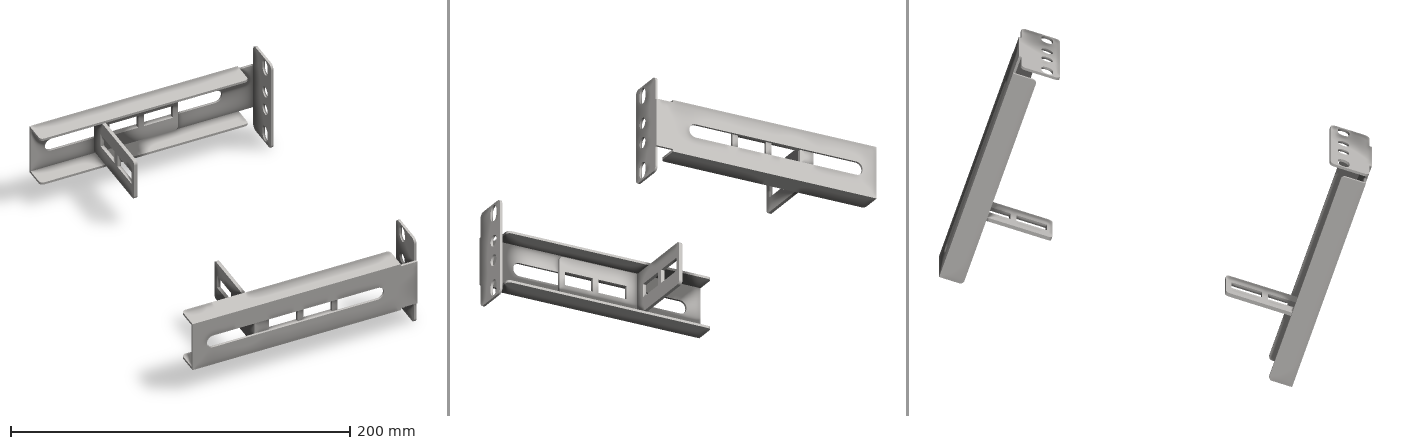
import cadquery as cq

overall_width = 219.5
overall_length = 147.5
ear_height = 61.0

sheet = 1.5
rail_height = 33.5
flange_depth = 15.0
flange_corner_radius = 2.5
neck_length = 11.0
neck_height = rail_height - 2 * sheet
web_slot_height = 8.5
web_slot_front_margin = 9.5
web_slot_rear_margin = 22.0

ear_width = 24.1
ear_corner_radius = 3.0
ear_hole_diameter = 7.0
ear_hole_inset = 16.0
ear_hole_offset = 6.4
ear_slot_offset = 24.1
ear_slot_length = 10.3

angle_sheet = 2.2
angle_leg = 54.2
angle_height = 27.5
angle_end_radius = 2.5
angle_front_distance = 106.0
window_height = web_slot_height
window_length = 18.9
windows_per_leg = 2
window_corner_margin = 9.2
window_bar_width = 3.7
window_spacing = window_length + window_bar_width

outer_x = -overall_width / 2
inner_x = outer_x + sheet
front_y = -overall_length
flange_rear_y = -neck_length
angle_front_y = -angle_front_distance


def box(x_range, y_range, height):
    """A box between two X and two Y positions, centred on Z = 0."""
    (x_min, x_max), (y_min, y_max) = x_range, y_range
    return cq.Workplane("XY").box(x_max - x_min, y_max - y_min, height).translate(
        ((x_min + x_max) / 2, (y_min + y_max) / 2, 0)
    )


def rail_channel():
    """The web, its narrower neck at the rear, and the upper and lower flanges."""
    flange_x = outer_x + flange_depth
    y_range = (front_y, flange_rear_y)
    block = box((outer_x, flange_x), y_range, rail_height)
    block = block.edges("|Z and >X").fillet(flange_corner_radius)
    channel = block.cut(box((inner_x, flange_x), y_range, neck_height))
    neck = box((outer_x, inner_x), (flange_rear_y, 0), neck_height)
    return channel.union(neck)


def web_slot():
    """The cutter for the long round-ended slot in the web."""
    slot_rear_y = -web_slot_rear_margin
    slot_front_y = front_y + web_slot_front_margin
    return (
        cq.Workplane("YZ", origin=(outer_x, (slot_rear_y + slot_front_y) / 2, 0))
        .slot2D(slot_rear_y - slot_front_y, web_slot_height)
        .extrude(sheet)
    )


def ear():
    """The rear mounting plate with two round holes between two upright slots."""
    plate = box((inner_x, inner_x + ear_width), (-sheet, 0), ear_height)
    plate = plate.edges("|Y").fillet(ear_corner_radius)
    holes = (
        cq.Workplane("XZ", origin=(inner_x + ear_hole_inset, 0, 0))
        .pushPoints([(0, -ear_hole_offset), (0, ear_hole_offset)])
        .circle(ear_hole_diameter / 2)
        .extrude(sheet)
    )
    slots = (
        cq.Workplane("XZ", origin=(inner_x + ear_hole_inset, 0, 0))
        .pushPoints([(0, -ear_slot_offset), (0, ear_slot_offset)])
        .slot2D(ear_slot_length, ear_hole_diameter, 90)
        .extrude(sheet)
    )
    return plate.cut(holes).cut(slots)


def left_rail():
    return rail_channel().cut(web_slot()).union(ear())


def left_angle():
    """An L of two legs meeting at the front, each with two rectangular windows."""
    cross_leg_y = (angle_front_y, angle_front_y + angle_sheet)
    side_leg_x = (inner_x, inner_x + angle_sheet)
    leg_end_x = inner_x + angle_leg
    leg_end_y = angle_front_y + angle_leg
    cross_leg = box((inner_x, leg_end_x), cross_leg_y, angle_height)
    cross_leg = cross_leg.edges("|Y and >X").fillet(angle_end_radius)
    side_leg = box(side_leg_x, (angle_front_y, leg_end_y), angle_height)
    side_leg = side_leg.edges("|X and >Y").fillet(angle_end_radius)
    angle = cross_leg.union(side_leg)
    for index in range(windows_per_leg):
        start = window_corner_margin + index * window_spacing
        end = start + window_length
        window_x = (inner_x + start, inner_x + end)
        window_y = (angle_front_y + start, angle_front_y + end)
        angle = angle.cut(box(window_x, cross_leg_y, window_height))
        angle = angle.cut(box(side_leg_x, window_y, window_height))
    return angle


bodies = []
for left_body in (left_rail(), left_angle()):
    bodies.append(left_body.val())
    bodies.append(left_body.mirror("YZ").val())

result = cq.Compound.makeCompound(bodies)